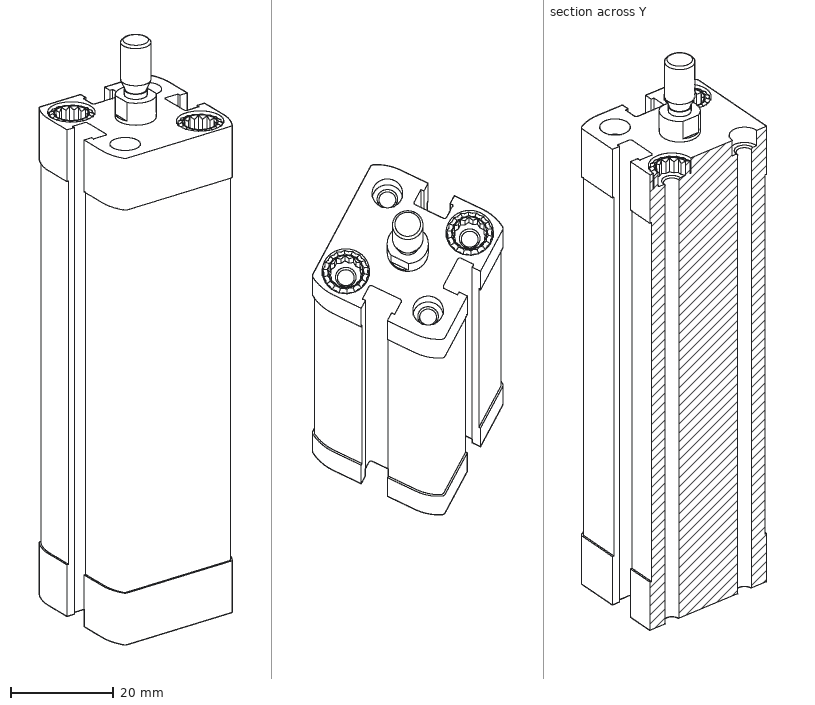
import cadquery as cq
import math

total_height = 121.7
cap_width = 29.0
body_height = 105.1
cap_height = 11.2
tube_inset = 0.4

flat_half_width = 9.0
side_arc_radius = 10.0
corner_fillet = 0.7

slot_mouth_width = 5.7
slot_width = 7.0
slot_lip = 1.8
slot_depth = 5.1
slot_corner_radius = 0.5

hole_offset = 9.0
pilot_diameter = 3.3
thread_diameter = 4.0
recess_depth = 3.5
plain_recess_diameter = 6.0
screw_recess_diameter = 9.2

head_gap = 0.2
knurl_count = 18
knurl_diameter = 9.0
knurl_root_diameter = 8.5
head_rim_width = 0.9
head_rim_height = 0.4
socket_tooth_count = 12
socket_diameter = 6.0
socket_root_diameter = 6.7
socket_mouth_depth = 0.7

stud_diameter = 6.0
stud_tip_chamfer = 0.5
stud_bottom = 113.2
neck_diameter = 4.1
neck_bottom = 111.0
flange_diameter = 4.5
rod_diameter = 8.0
rod_shoulder = 109.9
flat_bottom = 105.9
across_flats = 7.0
rod_bore_depth = cap_height


def section(inset, height):
    """Cylinder cross-section: flat sides joined by large corner arcs, moved inwards by the inset."""
    half = cap_width / 2 - inset
    rounded_length = half - flat_half_width
    sweep = math.asin(rounded_length / side_arc_radius)
    corner_y = half - side_arc_radius * (1 - math.cos(sweep))
    mid_x = flat_half_width + side_arc_radius * math.sin(sweep / 2)
    mid_y = half - side_arc_radius * (1 - math.cos(sweep / 2))
    return (
        cq.Workplane("XY")
        .moveTo(-flat_half_width, half)
        .lineTo(flat_half_width, half)
        .threePointArc((mid_x, mid_y), (half, corner_y))
        .lineTo(half, -corner_y)
        .threePointArc((mid_x, -mid_y), (flat_half_width, -half))
        .lineTo(-flat_half_width, -half)
        .threePointArc((-mid_x, -mid_y), (-half, -corner_y))
        .lineTo(-half, corner_y)
        .threePointArc((-mid_x, mid_y), (-flat_half_width, half))
        .close()
        .extrude(height)
        .edges("|Z and (<X or >X)")
        .fillet(corner_fillet)
    )


def slot_cutter(angle):
    """T-slot over the full length, opening towards the given angle about Z."""
    floor = cap_width / 2 - slot_depth
    mouth = (
        cq.Workplane("XY")
        .box(slot_depth, slot_mouth_width, body_height, centered=(False, True, False))
        .translate((floor, 0, 0))
    )
    undercut = (
        cq.Workplane("XY")
        .box(slot_depth - slot_lip, slot_width, body_height, centered=(False, True, False))
        .edges("|Z and <X")
        .fillet(slot_corner_radius)
        .translate((floor, 0, 0))
    )
    return mouth.union(undercut).rotate((0, 0, 0), (0, 0, 1), angle)


def cone(bottom_diameter, top_diameter, bottom, height):
    """Upright cone frustum on the Z axis."""
    solid = cq.Solid.makeCone(bottom_diameter / 2, top_diameter / 2, height, pnt=cq.Vector(0, 0, bottom))
    return cq.Workplane("XY").add(solid)


def screw_hole_cutter(recess_diameter):
    """Through hole with a countersunk thread mouth and a flat recess at the top."""
    floor = body_height - recess_depth
    mouth_depth = (thread_diameter - pilot_diameter) / 2
    pilot = cq.Workplane("XY").circle(pilot_diameter / 2).extrude(floor)
    countersink = cone(pilot_diameter, thread_diameter, floor - mouth_depth, mouth_depth)
    recess = cq.Workplane("XY").workplane(offset=floor).circle(recess_diameter / 2).extrude(recess_depth)
    return pilot.union(countersink).union(recess)


def toothed_outline(count, tip_diameter, root_diameter):
    """Corners of a star with pointed teeth all round."""
    points = []
    for index in range(2 * count):
        radius = (tip_diameter if index % 2 == 0 else root_diameter) / 2
        angle = math.pi * index / count
        points.append((radius * math.cos(angle), radius * math.sin(angle)))
    return points


def screw_head():
    """Knurled ring with a sloping toothed rim and a toothed socket through it."""
    height = recess_depth - head_gap
    straight_height = height - head_rim_height
    rim_scale = 1 - 2 * head_rim_width / knurl_diameter
    knurl = toothed_outline(knurl_count, knurl_diameter, knurl_root_diameter)
    rim_top = [(x * rim_scale, y * rim_scale) for x, y in knurl]
    band = cq.Workplane("XY").polyline(knurl).close().extrude(straight_height)
    rim = (
        cq.Workplane("XY")
        .workplane(offset=straight_height)
        .polyline(knurl)
        .close()
        .workplane(offset=head_rim_height)
        .polyline(rim_top)
        .close()
        .loft(ruled=True)
    )
    teeth = toothed_outline(socket_tooth_count, socket_root_diameter, socket_diameter)
    socket = cq.Workplane("XY").polyline(teeth).close().extrude(height)
    mouth = cone(socket_diameter, socket_root_diameter, height - socket_mouth_depth, socket_mouth_depth)
    return band.union(rim).cut(socket).cut(mouth)


def make_housing():
    """Slotted tube with wider end caps, corner screws and the bore for the rod."""
    tube = section(tube_inset, body_height)
    bottom_cap = section(0, cap_height)
    top_cap = section(0, cap_height).translate((0, 0, body_height - cap_height))
    housing = tube.union(bottom_cap).union(top_cap)
    for angle in (90, 180, 270):
        housing = housing.cut(slot_cutter(angle))
    for side in (-1, 1):
        plain_place = (side * hole_offset, -side * hole_offset, 0)
        screw_place = (side * hole_offset, side * hole_offset, 0)
        housing = housing.cut(screw_hole_cutter(plain_recess_diameter).translate(plain_place))
        housing = housing.cut(screw_hole_cutter(screw_recess_diameter).translate(screw_place))
        head = screw_head().translate((0, 0, body_height - recess_depth))
        housing = housing.union(head.translate(screw_place))
    rod_bore = (
        cq.Workplane("XY")
        .workplane(offset=body_height - rod_bore_depth)
        .circle(rod_diameter / 2)
        .extrude(rod_bore_depth)
    )
    return housing.cut(rod_bore)


def make_rod():
    """Rod with wrench flats, a necked flange and a stud on top."""
    rod = (
        cq.Workplane("XZ")
        .moveTo(0, body_height - rod_bore_depth)
        .lineTo(rod_diameter / 2, body_height - rod_bore_depth)
        .lineTo(rod_diameter / 2, rod_shoulder)
        .lineTo(flange_diameter / 2, rod_shoulder)
        .lineTo(flange_diameter / 2, neck_bottom)
        .lineTo(neck_diameter / 2, neck_bottom)
        .lineTo(stud_diameter / 2, stud_bottom)
        .lineTo(stud_diameter / 2, total_height - stud_tip_chamfer)
        .lineTo(stud_diameter / 2 - stud_tip_chamfer, total_height)
        .lineTo(0, total_height)
        .close()
        .revolve(360, (0, 0, 0), (0, 1, 0))
    )
    flat_height = rod_shoulder - flat_bottom
    for side in (-1, 1):
        flat_cutter = (
            cq.Workplane("XY")
            .box(rod_diameter, rod_diameter, flat_height, centered=(True, True, False))
            .translate((0, side * (across_flats + rod_diameter) / 2, flat_bottom))
        )
        rod = rod.cut(flat_cutter)
    return rod


housing = make_housing()
rod = make_rod()
result = cq.Compound.makeCompound([housing.val(), rod.val()])